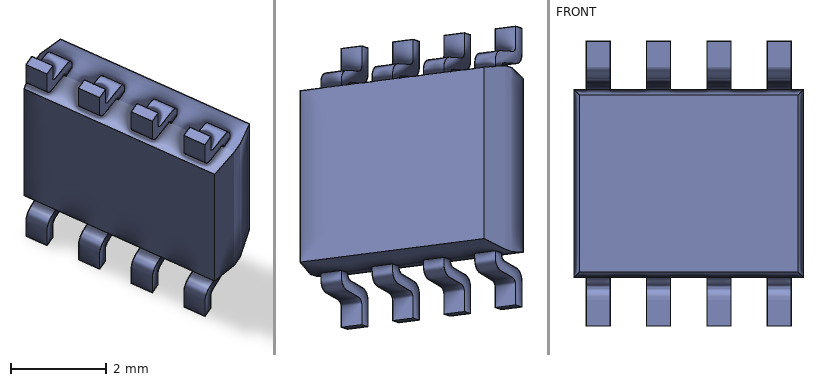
import cadquery as cq
import math


span = 5.99
depth = 1.7
body_length = 4.83
body_height = 3.955

standoff = 0.17
front_depth = 0.645
front_draft = 10.0
back_draft = 12.0

leads_per_row = 4
pitch = 1.27
lead_width = 0.51
lead_thickness = 0.25
lead_slope = math.radians(8.0)
shoulder_rise = 0.14
inner_bend = 0.145
outer_bend = 0.25

foot_front = -depth / 2
foot_back = foot_front + lead_thickness
band_front = foot_front + standoff + front_depth
band_back = band_front + lead_thickness
back_depth = depth / 2 - band_back


def body_slab(start_y, thickness, draft=0.0):
    """Rectangular block from start_y; a negative thickness runs towards -Y."""
    plane = cq.Workplane("XZ", origin=(0, start_y, 0))
    return plane.rect(body_length, body_height).extrude(-thickness, taper=draft)


def make_body():
    band = body_slab(band_front, lead_thickness)
    front = body_slab(band_front, -front_depth, front_draft)
    back = body_slab(band_back, back_depth, back_draft)
    return band.union(front).union(back)


def make_lead():
    """Gull-wing lead of the upper row, centred on X = 0."""
    body_edge = body_height / 2
    tip = span / 2
    rise = math.tan(lead_slope)
    slope_thickness = lead_thickness / math.cos(lead_slope)

    def lower_z(y):
        return body_edge + shoulder_rise + (band_front - y) * rise

    def upper_z(y):
        return lower_z(y) + slope_thickness

    shoulder_inside = (band_front, lower_z(band_front))
    shoulder_outside = (band_back, upper_z(band_back))
    heel_outside = (foot_front, lower_z(foot_front))
    heel_inside = (foot_back, upper_z(foot_back))
    outline = [
        (band_front, 0),
        shoulder_inside,
        heel_outside,
        (foot_front, tip),
        (foot_back, tip),
        heel_inside,
        shoulder_outside,
        (band_back, 0),
    ]
    lead = cq.Workplane("YZ").polyline(outline).close().extrude(lead_width / 2, both=True)

    bends = [
        (shoulder_inside, inner_bend),
        (heel_inside, inner_bend),
        (shoulder_outside, outer_bend),
        (heel_outside, outer_bend),
    ]
    for (y, z), radius in bends:
        corner = cq.selectors.NearestToPointSelector((0, y, z))
        lead = lead.edges(corner).fillet(radius)
    return lead


result = make_body()
upper_lead = make_lead()
lead_pair = upper_lead.union(upper_lead.mirror("XY"))
for index in range(leads_per_row):
    lead_x = (index - (leads_per_row - 1) / 2) * pitch
    result = result.union(lead_pair.translate((lead_x, 0, 0)))